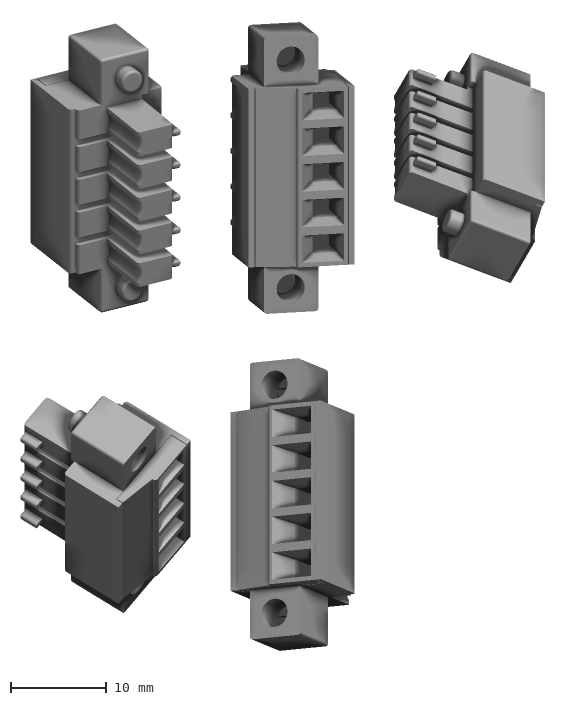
import cadquery as cq
import math


pole_count = 5
pole_pitch = 3.8
pole_heights = [(i - (pole_count - 1) / 2) * pole_pitch for i in range(pole_count)]

total_length = 29.45
body_length = 19.02
body_depth = 11.1
body_back = 8.3
body_round = 0.35
lip_front = 1.27

cover_bottom = 0.68
cover_top = 10.4
cover_back = 2.0
cover_gap = 0.1
cover_step_x = 0.45
cover_step_y = 6.2
cover_round = 0.35

flange_front = 2.03
flange_back = 8.85
flange_width = 5.83
flange_y = 6.3
flange_round = 0.3

screw_y = 6.35
screw_z = 12.13
screw_hole_diameter = 3.0
screw_head_diameter = 2.8
screw_head_round = 0.27
screw_head_front = 5.3
screw_slot_width = 0.62
screw_slot_depth = 0.6
screw_tip_diameter = 2.5
screw_tip_end = 10.4
screw_tip_round = 0.3

entry_bottom = 1.15
entry_top = 5.65
entry_height = 2.92
funnel_depth = 2.15
pocket_bottom = 1.35
pocket_top = 3.98
pocket_ledge = 0.1
pocket_height = 1.88
pocket_floor = 5.3

prong_end = 15.5
prong_bottom = 4.15
prong_top = 8.33
prong_root_height = 2.92
prong_tip_height = 2.75
prong_round = 0.35
prong_base_bottom = 0.7
prong_base_round = 0.3
channel_diameter = 3.53
channel_width = 1.85

rail_front = 13.02
rail_end = 15.17
rail_top = 9.48
rail_neck_top = 8.5
rail_head_bottom = 8.75
rail_head_width = 0.7
rail_neck_width = 0.4
rail_round = 0.27


def box(x0, x1, y0, y1, z0, z1):
    return cq.Workplane("XY").box(x1 - x0, y1 - y0, z1 - z0, centered=False).translate((x0, y0, z0))


def centered_box(x0, x1, y0, y1, z, height):
    return box(x0, x1, y0, y1, z - height / 2, z + height / 2)


def cylinder(x0, x1, diameter, y, z):
    return cq.Workplane("YZ", origin=(x0, y, z)).circle(diameter / 2).extrude(x1 - x0)


def make_body():
    """Housing and cover as one profile extruded along Z."""
    slope = (lip_front - cover_step_x) / (cover_top - cover_step_y)
    cover_tip_x = lip_front - slope * cover_gap / 2
    return (
        cq.Workplane("XY", origin=(0, 0, -body_length / 2))
        .moveTo(0, 0)
        .lineTo(body_back - body_round, 0)
        .radiusArc((body_back, body_round), -body_round)
        .lineTo(body_back, body_depth - body_round)
        .radiusArc((body_back - body_round, body_depth), -body_round)
        .lineTo(lip_front, body_depth)
        .lineTo(lip_front, cover_top)
        .lineTo(cover_tip_x, cover_top - cover_gap / 2)
        .lineTo(cover_step_x, cover_step_y)
        .lineTo(cover_round, cover_step_y)
        .radiusArc((0, cover_step_y - cover_round), -cover_round)
        .close()
        .extrude(body_length)
    )


def cover_gap_cut():
    """Narrow gap along both long sides of the cover, and a shallow groove behind its ends."""
    half_gap = cover_gap / 2
    back = cover_back + half_gap
    cut = cq.Workplane("XY")
    for y in (cover_bottom, cover_top):
        cut = cut.add(centered_box(0, back, y - half_gap, y + half_gap, 0, body_length))
    for side in (-1, 1):
        z = side * body_length / 2
        groove = centered_box(cover_back - half_gap, back, cover_bottom, cover_top, z, 2 * cover_gap)
        cut = cut.add(groove)
    return cut.combine()


def make_flange():
    """Flange at the +Z end, reaching down to the end of the body."""
    y0 = flange_y - flange_width / 2
    flange = box(flange_front, flange_back, y0, y0 + flange_width, body_length / 2, total_length / 2)
    flange = flange.edges("|X and >Z").fillet(flange_round)
    flange = flange.faces(">X").edges("not <Z").fillet(flange_round)
    hole = cylinder(flange_front, flange_back, screw_hole_diameter, screw_y, screw_z)
    return flange.cut(hole).union(make_screw())


def make_screw():
    """Slotted screw whose head fills the bottom of the flange hole."""
    head = cylinder(screw_head_front, flange_back, screw_head_diameter, screw_y, screw_z)
    head = head.faces("<X").edges().fillet(screw_head_round)
    seat = cylinder(screw_head_front + screw_slot_depth, flange_back, screw_hole_diameter, screw_y, screw_z)
    half = screw_hole_diameter / 2
    slot = centered_box(screw_head_front, screw_head_front + screw_slot_depth,
                        screw_y - half, screw_y + half, screw_z, screw_slot_width)
    tip = cylinder(flange_back, screw_tip_end, screw_tip_diameter, screw_y, screw_z)
    tip = tip.faces(">X").edges().fillet(screw_tip_round)
    return head.cut(slot).union(seat).union(tip)


def wire_entry():
    """Cutter for one wire opening, centred on its pole."""
    funnel_top = pocket_top + pocket_ledge
    entry_y = (entry_bottom + entry_top) / 2
    funnel_y = (pocket_bottom + funnel_top) / 2
    funnel = (
        cq.Workplane("YZ", origin=(0, entry_y, 0))
        .rect(entry_top - entry_bottom, entry_height)
        .workplane(offset=funnel_depth)
        .center(funnel_y - entry_y, 0)
        .rect(funnel_top - pocket_bottom, pocket_height)
        .loft(ruled=True)
    )
    pocket = centered_box(funnel_depth, pocket_floor, pocket_bottom, pocket_top, 0, pocket_height)
    return funnel.union(pocket)


def make_prong():
    """Tapered prong with a rounded channel on its -Y face and a rail on its +Y face."""
    prong = (
        cq.Workplane("XZ", origin=(0, prong_top, 0))
        .polyline([
            (body_back, -prong_root_height / 2),
            (prong_end, -prong_tip_height / 2),
            (prong_end, prong_tip_height / 2),
            (body_back, prong_root_height / 2),
        ])
        .close()
        .extrude(prong_top - prong_bottom)
    )
    channel_offset = math.sqrt(channel_diameter ** 2 - channel_width ** 2) / 2
    channel = cylinder(flange_back, prong_end, channel_diameter, prong_bottom - channel_offset, 0)
    prong = prong.cut(channel)
    prong = prong.faces(">X").edges("not |Y").fillet(prong_round)
    return prong.union(make_rail())


def make_prong_base(z_low, z_high):
    """Block between body and prong, rounded along its -Y edge."""
    base = box(body_back, flange_back, prong_base_bottom, prong_top, z_low, z_high)
    return base.edges("|Z and >X and <Y").fillet(prong_base_round)


def make_rail():
    """Undercut rail: a rounded head that narrows to a thin neck."""
    neck = rail_neck_width / 2
    head = rail_head_width / 2
    rail = (
        cq.Workplane("YZ", origin=(rail_front, 0, 0))
        .moveTo(prong_top - prong_round, -neck)
        .lineTo(rail_neck_top, -neck)
        .lineTo(rail_head_bottom, -head)
        .lineTo(rail_top - rail_round, -head)
        .radiusArc((rail_top, rail_round - head), -rail_round)
        .lineTo(rail_top, head - rail_round)
        .radiusArc((rail_top - rail_round, head), -rail_round)
        .lineTo(rail_head_bottom, head)
        .lineTo(rail_neck_top, neck)
        .lineTo(prong_top - prong_round, neck)
        .close()
        .extrude(rail_end - rail_front)
    )
    return rail.edges(">X and >Y").fillet(rail_round)


result = make_body().cut(cover_gap_cut())

flange = make_flange()
result = result.union(flange).union(flange.mirror("XY"))

prong = make_prong()
entry = wire_entry()
for z in pole_heights:
    result = result.union(prong.translate((0, 0, z)))
    result = result.cut(entry.translate((0, 0, z)))

    z_low = -body_length / 2 if z == pole_heights[0] else z - prong_root_height / 2
    z_high = body_length / 2 if z == pole_heights[-1] else z + prong_root_height / 2
    result = result.union(make_prong_base(z_low, z_high))